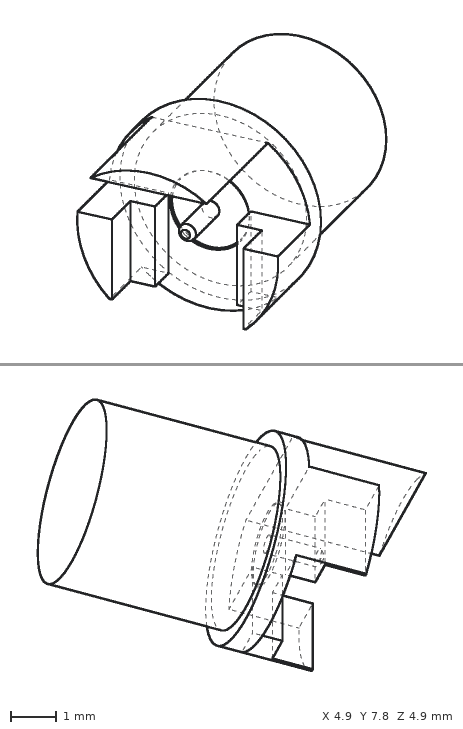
import cadquery as cq

overall_length = 7.8
rear_y = overall_length / 2

barrel_diameter = 4.2
barrel_length = 4.1

flange_diameter = 4.9
flange_thickness = 0.55
flange_rear_y = rear_y - barrel_length
flange_face_y = flange_rear_y - flange_thickness

tab_flat_z = 2.0
tab_length = overall_length - barrel_length - flange_thickness

leg_top_z = 0.2
leg_bottom_z = -1.8
leg_length = 1.65
leg_inner_x = 1.6
foot_length = 0.7
foot_inner_x = 1.0

recess_mouth_diameter = 1.93
recess_floor_diameter = 1.88
recess_depth = 0.05

pin_diameter = 0.42
pin_length = 1.25
pin_chamfer = 0.1


def cylinder(diameter, start_y, length):
    """Cylinder on the part's axis, running from start_y toward -Y."""
    plane = cq.Workplane("XZ", origin=(0, start_y, 0))
    return plane.circle(diameter / 2).extrude(length)


def block(x_min, x_max, z_min, z_max, length):
    """Rectangular block standing on the flange face."""
    plane = cq.Workplane("XZ", origin=(0, flange_face_y, 0))
    centre = plane.center((x_min + x_max) / 2, (z_min + z_max) / 2)
    return centre.rect(x_max - x_min, z_max - z_min).extrude(length)


def make_tab():
    radius = flange_diameter / 2
    envelope = cylinder(flange_diameter, flange_face_y, tab_length)
    return envelope.intersect(block(-radius, radius, tab_flat_z, radius, tab_length))


def make_right_leg():
    """Leg on the +X side, with a short inward foot at its root."""
    radius = flange_diameter / 2
    post = block(leg_inner_x, radius, leg_bottom_z, leg_top_z, leg_length)
    foot = block(foot_inner_x, radius, leg_bottom_z, leg_top_z, foot_length)
    envelope = cylinder(flange_diameter, flange_face_y, leg_length)
    return post.union(foot).intersect(envelope)


def make_recess():
    mouth = cq.Workplane("XZ", origin=(0, flange_face_y, 0)).circle(recess_mouth_diameter / 2)
    floor = mouth.workplane(offset=-recess_depth).circle(recess_floor_diameter / 2)
    return floor.loft()


def make_pin():
    pin = cylinder(pin_diameter, flange_rear_y, flange_thickness + pin_length)
    return pin.faces("<Y").chamfer(pin_chamfer)


barrel = cylinder(barrel_diameter, rear_y, barrel_length)
flange = cylinder(flange_diameter, flange_rear_y, flange_thickness)
right_leg = make_right_leg()
left_leg = right_leg.mirror("YZ")

result = (
    barrel.union(flange)
    .union(make_tab())
    .union(right_leg)
    .union(left_leg)
    .cut(make_recess())
    .union(make_pin())
)